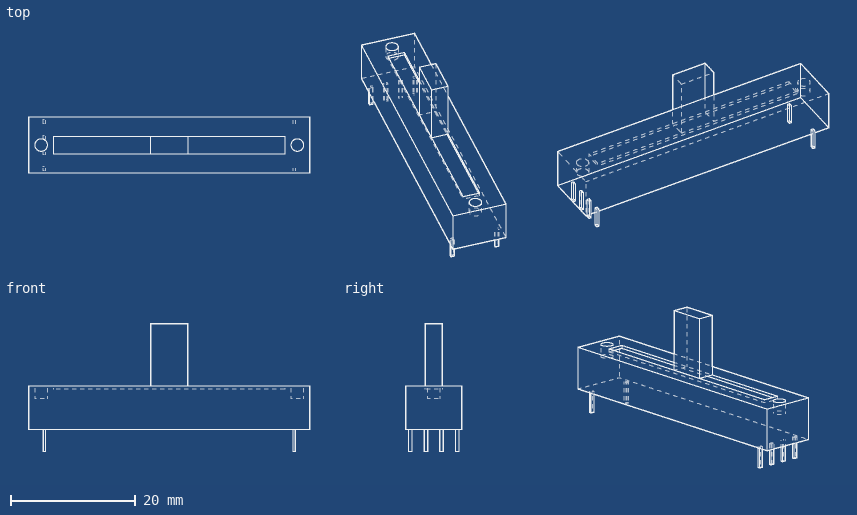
import cadquery as cq

housing_length = 45.0
housing_width = 9.0
housing_height = 7.0

slot_length = 37.0
slot_width = 2.8
slot_depth = 0.5

hole_diameter = 2.0
hole_depth = 2.0
hole_offset = (housing_length + slot_length) / 4

pin_thickness = 0.4
pin_width = 0.6
pin_length = 3.5
pin_pitch = 2.5
pins_per_row = 4
pin_row_offset = 20.0

slider_length = 6.0
slider_width = slot_width
slider_height = 10.0


def make_block():
    """Plain housing block."""
    return cq.Workplane("XY").box(
        housing_length, housing_width, housing_height, centered=(True, True, False)
    )


def make_slot():
    """Cutter for the shallow guide slot."""
    return (
        cq.Workplane("XY")
        .workplane(offset=housing_height)
        .rect(slot_length, slot_width)
        .extrude(-slot_depth)
    )


def make_mounting_holes():
    """Cutter for the two blind mounting holes."""
    return (
        cq.Workplane("XY")
        .workplane(offset=housing_height)
        .pushPoints([(-hole_offset, 0), (hole_offset, 0)])
        .circle(hole_diameter / 2)
        .extrude(-hole_depth)
    )


def make_pins():
    """Terminal pins of both rows, hanging below the housing."""
    row_end = pin_pitch * (pins_per_row - 1) / 2
    full_row = [(-pin_row_offset, index * pin_pitch - row_end) for index in range(pins_per_row)]
    outer_pair = [(pin_row_offset, side * row_end) for side in (-1, 1)]
    return (
        cq.Workplane("XY")
        .pushPoints(full_row + outer_pair)
        .rect(pin_thickness, pin_width)
        .extrude(-pin_length)
    )


def make_housing():
    """Housing with its slot, mounting holes and terminal pins."""
    return make_block().cut(make_slot()).cut(make_mounting_holes()).union(make_pins())


def make_slider():
    """Rectangular slider above the middle of the slot."""
    return (
        cq.Workplane("XY")
        .workplane(offset=housing_height)
        .rect(slider_length, slider_width)
        .extrude(slider_height)
    )


housing = make_housing()
slider = make_slider()

result = cq.Compound.makeCompound([housing.val(), slider.val()])